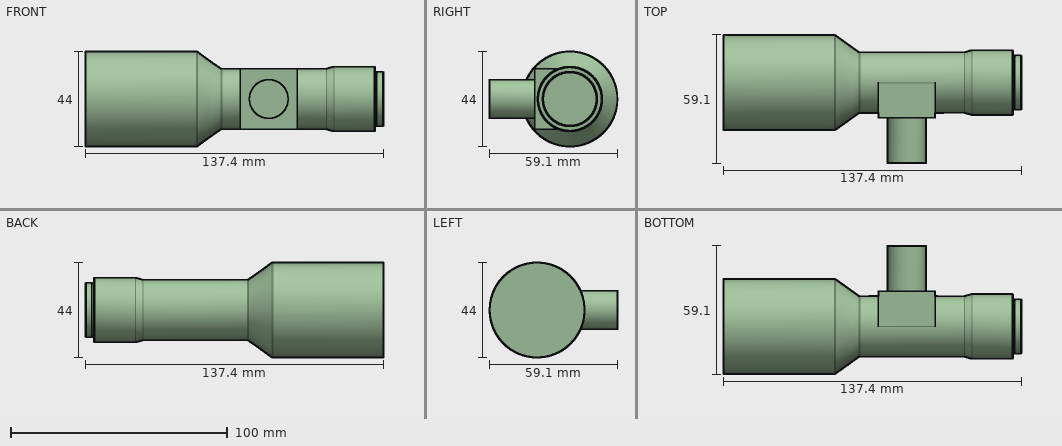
import cadquery as cq

total_length = 137.4
head_radius = 22.0
tube_radius = 14.0
collar_radius = 15.0
groove_radius = 12.2
tip_radius = 12.6
head_end = 51.4
taper_end = 62.5
taper_blend_radius = 0.7
head_chamfer = 0.2
collar_start = 111.0
collar_ramp = 3.5
collar_end = 133.5
groove_width = 0.8
edge_chamfer = 0.4
edge_margin = 0.1

side_center = 84.5
block_length = 26.1
block_height = 2 * tube_radius
block_reach = 16.2
post_radius = 8.9
post_reach = 37.1


def turned_body():
    """Head, taper, tube, collar and grooved tip as one revolved profile."""
    groove_end = collar_end + groove_width
    profile = (
        cq.Workplane("XY")
        .lineTo(0, head_radius - head_chamfer)
        .lineTo(head_chamfer, head_radius)
        .lineTo(head_end, head_radius)
        .lineTo(taper_end, tube_radius)
        .lineTo(collar_start, tube_radius)
        .lineTo(collar_start + collar_ramp, collar_radius)
        .lineTo(collar_end - edge_chamfer, collar_radius)
        .lineTo(collar_end, collar_radius - edge_chamfer)
        .lineTo(collar_end, groove_radius)
        .lineTo(groove_end, groove_radius)
        .lineTo(groove_end, tip_radius)
        .lineTo(total_length - edge_chamfer, tip_radius)
        .lineTo(total_length, tip_radius - edge_chamfer)
        .lineTo(total_length, 0)
        .close()
    )
    body = profile.revolve(360, (0, 0, 0), (1, 0, 0))
    for x, radius in ((head_end, head_radius), (taper_end, tube_radius)):
        taper_edge = cq.selectors.BoxSelector(
            (x - edge_margin, -radius, -radius),
            (x + edge_margin, radius, radius),
        )
        body = body.edges(taper_edge).edges("%CIRCLE").fillet(taper_blend_radius)
    return body


side_plane = cq.Workplane("XZ").center(side_center, 0)
block = side_plane.rect(block_length, block_height).extrude(block_reach)
post = side_plane.circle(post_radius).extrude(post_reach)

result = turned_body().union(block).union(post)